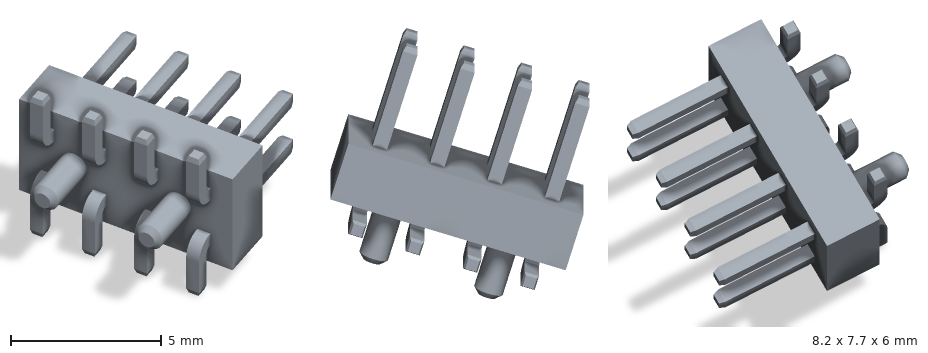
import cadquery as cq
import math


PITCH = 2.0
PINS_PER_ROW = 4
ROW_Z = PITCH / 2

HOUSING_LENGTH = 8.2
HOUSING_DEPTH = PITCH
HOUSING_HEIGHT = 2 * PITCH
MATING_FACE_Y = HOUSING_DEPTH / 2
SOLDER_FACE_Y = -HOUSING_DEPTH / 2

PEG_SPACING = 2 * PITCH
PEG_RADIUS = PITCH / 4
PEG_LENGTH = 2.1
PEG_CHAMFER = 0.2

WIRE = PITCH / 4
BEND_INNER_RADIUS = 0.2
BEND_OUTER_RADIUS = BEND_INNER_RADIUS + WIRE
TIP_LENGTH = 0.2
TIP_WIDTH = 0.38
MATING_END_Y = MATING_FACE_Y + 3.6
TAIL_FRONT_Y = SOLDER_FACE_Y - 0.755
TAIL_END_Z = 1.5 * PITCH


def make_tip(base_plane):
    """Tapered wire end that rises from the given plane."""
    return (
        cq.Workplane(base_plane)
        .rect(WIRE, WIRE)
        .workplane(offset=TIP_LENGTH)
        .rect(TIP_WIDTH, TIP_WIDTH)
        .loft(ruled=True)
    )


def make_upper_pin():
    """Upper-row pin at X = 0: straight along Y, then bent up along the solder side."""
    wire_bottom = ROW_Z - WIRE / 2
    wire_top = ROW_Z + WIRE / 2
    tail_back_y = TAIL_FRONT_Y + WIRE
    shaft_end_y = MATING_END_Y - TIP_LENGTH
    tail_top_z = TAIL_END_Z - TIP_LENGTH

    bend_y = TAIL_FRONT_Y + BEND_OUTER_RADIUS
    bend_z = wire_bottom + BEND_OUTER_RADIUS
    diagonal = math.sqrt(0.5)
    outer_mid = (bend_y - BEND_OUTER_RADIUS * diagonal, bend_z - BEND_OUTER_RADIUS * diagonal)
    inner_mid = (bend_y - BEND_INNER_RADIUS * diagonal, bend_z - BEND_INNER_RADIUS * diagonal)

    wire = (
        cq.Workplane("YZ")
        .moveTo(shaft_end_y, wire_bottom)
        .lineTo(bend_y, wire_bottom)
        .threePointArc(outer_mid, (TAIL_FRONT_Y, bend_z))
        .lineTo(TAIL_FRONT_Y, tail_top_z)
        .lineTo(tail_back_y, tail_top_z)
        .lineTo(tail_back_y, bend_z)
        .threePointArc(inner_mid, (bend_y, wire_top))
        .lineTo(shaft_end_y, wire_top)
        .close()
        .extrude(WIRE / 2, both=True)
    )
    tail_centre_y = TAIL_FRONT_Y + WIRE / 2
    mating_tip = make_tip(cq.Plane((0, shaft_end_y, ROW_Z), xDir=(1, 0, 0), normal=(0, 1, 0)))
    tail_tip = make_tip(cq.Plane((0, tail_centre_y, tail_top_z), xDir=(1, 0, 0), normal=(0, 0, 1)))
    return wire.union(mating_tip).union(tail_tip)


def make_pins():
    """All pins; the lower row mirrors the upper one."""
    upper_pin = make_upper_pin()
    lower_pin = upper_pin.mirror("XY")
    placed = []
    for column in range(PINS_PER_ROW):
        x = (column - (PINS_PER_ROW - 1) / 2) * PITCH
        for pin in (upper_pin, lower_pin):
            placed.append(pin.translate((x, 0, 0)).solids().val())
    return placed


def make_peg(x):
    """Locating peg with a chamfered end, standing on the solder face."""
    base = cq.Plane((x, SOLDER_FACE_Y, 0), xDir=(0, 0, 1), normal=(0, -1, 0))
    peg = cq.Workplane(base).circle(PEG_RADIUS).extrude(PEG_LENGTH)
    return peg.faces("<Y").chamfer(PEG_CHAMFER)


def make_housing():
    """Block with both pegs and a square through hole for every pin."""
    block = cq.Workplane("XY").box(HOUSING_LENGTH, HOUSING_DEPTH, HOUSING_HEIGHT)
    for side in (-1, 1):
        block = block.union(make_peg(side * PEG_SPACING / 2))
    pin_holes = (
        cq.Workplane("XZ")
        .rarray(PITCH, 2 * ROW_Z, PINS_PER_ROW, 2)
        .rect(WIRE, WIRE)
        .extrude(HOUSING_DEPTH / 2, both=True)
    )
    return block.cut(pin_holes)


housing = make_housing()
pins = make_pins()

result = cq.Compound.makeCompound([housing.solids().val(), *pins])